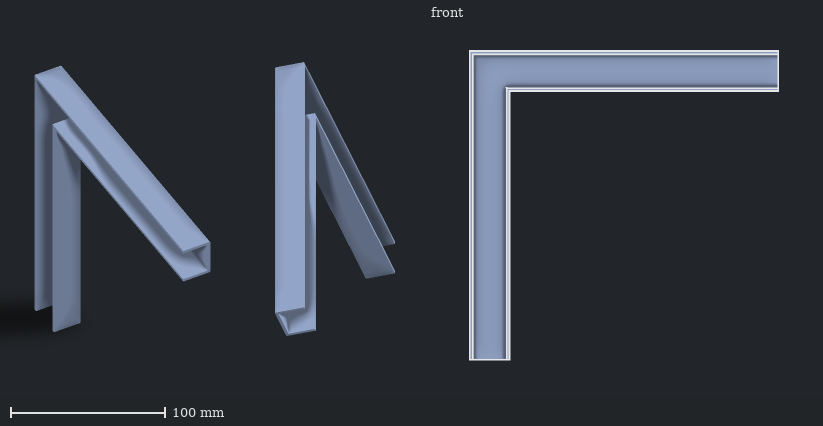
import cadquery as cq

leg_length = 200.0
channel_width = 26.0
channel_depth = 20.0

wall = 2.0
outer_radius = 1.0
inner_radius = 0.3

half_length = leg_length / 2
half_depth = channel_depth / 2


def corner_block(inset, back, edge_radius):
    """L-shaped block reaching from the front to `back`, sides inset and long back edges rounded."""
    outer_x = -half_length + inset
    outer_z = half_length - inset
    width = channel_width - 2 * inset
    outline = [
        (outer_x, outer_z),
        (half_length, outer_z),
        (half_length, outer_z - width),
        (outer_x + width, outer_z - width),
        (outer_x + width, -half_length),
        (outer_x, -half_length),
    ]
    plane = cq.Workplane("XZ", origin=(0, back, 0))
    block = plane.polyline(outline).close().extrude(back + half_depth)

    right_end = cq.selectors.DirectionMinMaxSelector(cq.Vector(1, 0, 0))
    bottom_end = cq.selectors.DirectionMinMaxSelector(cq.Vector(0, 0, -1))
    long_edges = cq.selectors.InverseSelector(right_end + bottom_end)
    return block.faces(">Y").edges(long_edges).fillet(edge_radius)


body = corner_block(0, half_depth, outer_radius)
hollow = corner_block(wall, half_depth - wall, inner_radius)

result = body.cut(hollow)